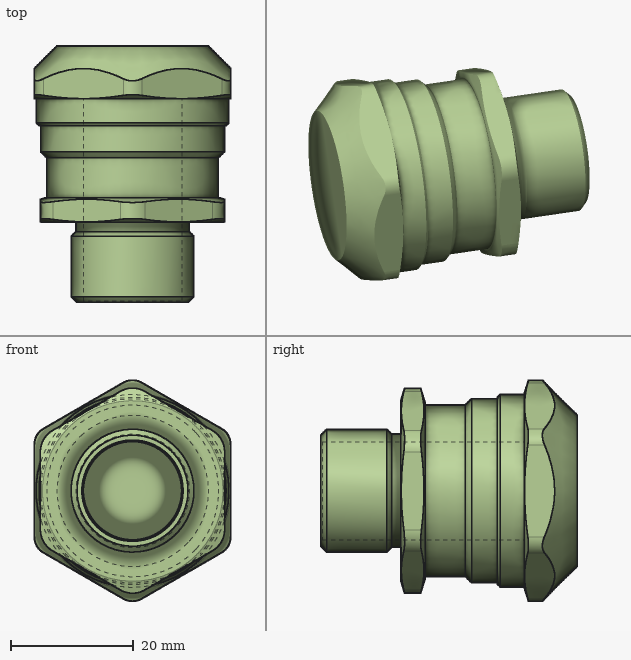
import cadquery as cq
import math


cap_flats = 32.0
cap_corner_radius = 3.0
cap_face_diameter = 24.65
cap_end = 8.6
cap_rear_diameter = 31.83

collar_diameter = 31.4
collar_end = 13.0
collar_chamfer = 0.45
body_diameter = 30.0
body_end = 18.2
waist_diameter = 28.0
waist_end = 24.73

flange_flats = 30.0
flange_corner_radius = 4.0
flange_end = 28.75
flange_front_diameter = 28.5
flange_rear_diameter = 29.4

neck_diameter = 18.5
neck_end = 30.25
shank_diameter = 20.0
shank_end = 41.75
shank_tip_chamfer = 0.95

bore_diameter = 16.0
bore_chamfer = 0.25
bore_bottom = cap_end

hex_chamfer_tangent = math.tan(math.radians(17.5))
cap_cone_tangent = math.tan(math.radians(45))


def revolve(profile):
    """Turn a closed (radius, distance from cap end) profile about the Y axis."""
    points = [(radius, -distance) for radius, distance in profile]
    return cq.Workplane("XY").polyline(points).close().revolve(360, (0, 0, 0), (0, 1, 0))


def chamfered_hexagon(flats, corner_radius, start, end, start_diameter, end_diameter, start_tangent):
    """Hexagonal nut with corners on Z, rounded edges and conical chamfers on both faces."""
    corner_diameter = flats / math.cos(math.radians(30))
    prism = (
        cq.Workplane("XZ", origin=(0, -start, 0))
        .transformed(rotate=(0, 0, 90))
        .polygon(6, corner_diameter)
        .extrude(end - start)
        .edges("|Y")
        .fillet(corner_radius)
    )
    outer_radius = corner_diameter / 2
    start_radius = start_diameter / 2
    end_radius = end_diameter / 2
    envelope = revolve([
        (0, start),
        (start_radius, start),
        (outer_radius, start + (outer_radius - start_radius) * start_tangent),
        (outer_radius, end - (outer_radius - end_radius) * hex_chamfer_tangent),
        (end_radius, end),
        (0, end),
    ])
    return prism.intersect(envelope)


def turned_core():
    """Collar, body, waist, neck and shank as one solid of revolution."""
    collar_radius = collar_diameter / 2
    body_radius = body_diameter / 2
    waist_radius = waist_diameter / 2
    neck_radius = neck_diameter / 2
    shank_radius = shank_diameter / 2
    body_step = body_radius - waist_radius
    shank_step = shank_radius - neck_radius
    core_start = cap_end / 2
    return revolve([
        (0, core_start),
        (waist_radius, core_start),
        (collar_radius, cap_end),
        (collar_radius, collar_end - collar_chamfer),
        (collar_radius - collar_chamfer, collar_end),
        (body_radius, collar_end),
        (body_radius, body_end - body_step),
        (waist_radius, body_end),
        (waist_radius, waist_end),
        (neck_radius, waist_end),
        (neck_radius, neck_end),
        (shank_radius, neck_end + shank_step),
        (shank_radius, shank_end - shank_tip_chamfer),
        (shank_radius - shank_tip_chamfer, shank_end),
        (0, shank_end),
    ])


def bore():
    """Blind bore with a chamfered mouth at the shank tip."""
    radius = bore_diameter / 2
    return revolve([
        (0, bore_bottom),
        (radius, bore_bottom),
        (radius, shank_end - bore_chamfer),
        (radius + bore_chamfer, shank_end),
        (0, shank_end),
    ])


cap_nut = chamfered_hexagon(
    cap_flats, cap_corner_radius, 0, cap_end,
    cap_face_diameter, cap_rear_diameter, cap_cone_tangent,
)
flange = chamfered_hexagon(
    flange_flats, flange_corner_radius, waist_end, flange_end,
    flange_front_diameter, flange_rear_diameter, hex_chamfer_tangent,
)
result = turned_core().union(cap_nut).union(flange).cut(bore())